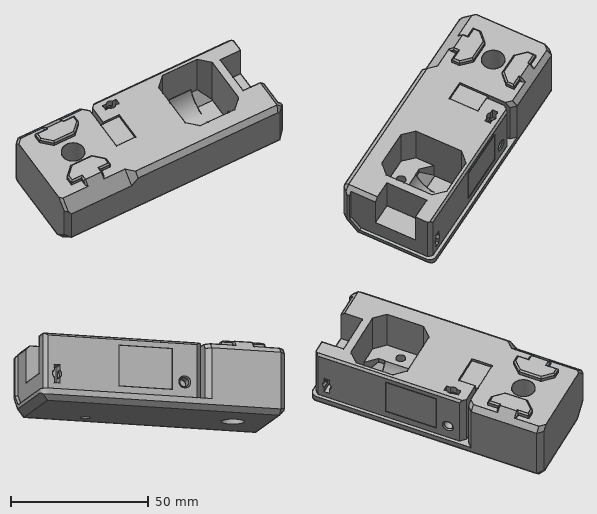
import cadquery as cq
import math

width = 38.2
length = 92.75
body_top = 25.0
overall_height = 27.0
edge_bevel = 1.95
rear_bevel = 2.7
belly_width = 6.0
belly_height = 6.5
margin = 4.6

block_rear = 30.1
shoulder = 4.7
shoulder_end_bevel = 1.1
flange_top = 4.2
shell_left = 1.3
shell_rear = 91.5
shell_front = 31.5
shell_front_corner = 1.95
shell_rear_corner = 1.4
shell_edge_bevel = 0.8
slit_end = 10.85
rear_pad_left = 34.4
rear_pad_slope = 4.2

shallow_width = 11.9
shallow_length = 8.2
shallow_depth = 1.0
rear_pocket_left = 7.8
rear_pocket_width = 16.5
rear_pocket_front = 82.8
rear_pocket_floor = 11.1
bay_left = 3.3
bay_width = 26.9
bay_center_y = 68.45
bay_length = 22.6
bay_corner = 4.0
bay_floor = 8.9
trough_width = 19.4
trough_depth = 6.1
trough_slope = 4.3
saddle_radius = 10.4
saddle_length = 9.3
saddle_floor_width = 4.1
drain_diameter = 3.4
drain_x = 26.25

key_diameter = 3.4
key_width = 2.1
key_slot_depth = 4.6
key_hole_depth = 2.8
pin_depth = 4.6
side_key_y = 86.6
side_key_length = 6.8
top_key_x = 5.3
pin_y = 38.1
top_key_length = 5.7
side_hole_z = 10.0
pin_diameter = 3.4
pin_rim = 4.45
label_depth = 0.2
label_width = 20.2
label_height = 15.2
label_rear = 63.1
label_bottom = 7.0

bore_diameter = 8.5
bore_x = 17.1
bore_y = 15.1
left_tab_x = 3.9
right_tab_x = 22.8
tab_width = 7.05
tab_length = 16.5
tab_corner = 3.8
tab_bevel = 0.65
stem_width = 8.0


def beyond_plane(point, normal):
    """Everything on the outer side of a plane."""
    reach = 4 * length
    plane = cq.Plane(origin=point, normal=normal)
    return cq.Workplane(plane).rect(reach, reach).extrude(reach)


def block(x0, x1, y0, y1, z0, z1):
    return cq.Workplane("XY").box(x1 - x0, y1 - y0, z1 - z0, centered=False).translate((x0, y0, z0))


def octagon(x0, x1, y_center, y_size, corner, z0, height):
    """Rectangular prism with bevelled upright corners."""
    y0 = y_center - y_size / 2
    return block(x0, x1, y0, y0 + y_size, z0, z0 + height).edges("|Z").chamfer(corner)


def make_body():
    body = block(0, width, 0, length, 0, body_top)
    body = body.edges("|Z and <X and >Y").fillet(rear_bevel)
    body = body.edges("<X and <Z").chamfer(edge_bevel)

    diagonal = math.sqrt(0.5)
    belly_size = math.hypot(belly_width, belly_height)
    left = (-1, 0, 0, 0)
    lower_left = (-diagonal, -diagonal, 0, edge_bevel)
    bottom = (0, -1, 0, 0)
    belly = (belly_height / belly_size, -belly_width / belly_size, width, belly_height)
    right = (1, 0, width, 0)
    upper_right = (diagonal, diagonal, width, body_top - edge_bevel)

    for nx, nz, x, z in (belly, upper_right):
        body = body.cut(beyond_plane((x, 0, z), (nx, 0, nz)))
    for nx, nz, x, z in (left, lower_left, bottom, belly, right):
        body = body.cut(beyond_plane((x, edge_bevel, z), (nx, -1, nz)))
    for nx, nz, x, z in (bottom, belly, right):
        body = body.cut(beyond_plane((x, length - rear_bevel, z), (nx, 1, nz)))

    bevel_start = (width - edge_bevel, length - rear_bevel, body_top)
    full_length_zone = block(rear_pocket_left + rear_pocket_width, width + margin,
                             0, length + margin, 0, body_top + margin)
    body = body.cut(beyond_plane(bevel_start, (0, 1, 1)).intersect(full_length_zone))
    return body.cut(beyond_plane(bevel_start, (math.sqrt(2), 1, 1)))


def bevel_front_block(body):
    front_zone = block(-margin, width + margin, -margin, block_rear, 0, overall_height + margin)
    low = body_top - edge_bevel
    corner_y = block_rear - edge_bevel

    for point, normal in (
        ((0, 0, low), (-1, 0, 1)),
        ((0, edge_bevel, low), (-1, -1, 1)),
        ((0, corner_y, low), (-1, 1, 1)),
    ):
        body = body.cut(beyond_plane(point, normal).intersect(front_zone))

    shoulder_point = (width - shoulder, 0, body_top)
    ramp_point = (width - edge_bevel, block_rear, body_top)
    shoulder_cut = beyond_plane(shoulder_point, (1, 0, 1)).intersect(beyond_plane(ramp_point, (1, -1, 1)))
    body = body.cut(shoulder_cut)
    end_point = (width - shoulder - shoulder_end_bevel, 0, body_top)
    return body.cut(beyond_plane(end_point, (1, -1, 1)).intersect(front_zone))


def make_tab(x0, inner_side, stem_foot, lean):
    """Tab with bevelled inner corners and a stem that continues the bevelled side of the block.

    The stem leaves the block top at stem_foot; lean is the X sign of its 45 degree outer face.
    """
    y0 = bore_y - tab_length / 2
    tab = block(x0, x0 + tab_width, y0, y0 + tab_length, body_top, overall_height)
    tab = tab.edges("|Z").edges(inner_side).chamfer(tab_corner)
    tab = tab.faces(">Z").chamfer(tab_bevel)

    tab_height = overall_height - body_top
    tab_middle = x0 + tab_width / 2
    stem = (
        cq.Workplane("XZ", origin=(0, bore_y + stem_width / 2, 0))
        .polyline([
            (stem_foot, body_top),
            (stem_foot + lean * tab_height, overall_height),
            (tab_middle, overall_height),
            (tab_middle, body_top),
        ])
        .close().extrude(stem_width)
    )
    top_and_slope = stem.faces("<Y or >Y").edges("not(<Z)").edges("not(|Z)")
    return tab.union(top_and_slope.chamfer(tab_bevel))


def add_tabs(body):
    body = body.union(make_tab(left_tab_x, ">X", edge_bevel, 1))
    return body.union(make_tab(right_tab_x, "<X", width - shoulder, -1))


def cut_ledge(body):
    corner_y = block_rear - edge_bevel
    recess = (
        cq.Workplane("XY", origin=(0, 0, flange_top))
        .polyline([
            (-margin, corner_y - margin),
            (edge_bevel, block_rear),
            (slit_end, block_rear),
            (slit_end, shell_front),
            (shell_left + shell_front_corner, shell_front),
            (shell_left, shell_front + shell_front_corner),
            (shell_left, shell_rear - shell_rear_corner),
            (shell_left + shell_rear_corner, shell_rear),
            (shell_left + shell_rear_corner, length + margin),
            (-margin, length + margin),
        ])
        .close().extrude(overall_height)
    )
    rear_recess = (
        cq.Workplane("XZ", origin=(0, length + margin, 0))
        .polyline([
            (0, flange_top),
            (rear_pad_left - rear_pad_slope, flange_top),
            (rear_pad_left, flange_top + rear_pad_slope),
            (rear_pad_left, overall_height),
            (0, overall_height),
        ])
        .close().extrude(length + margin - shell_rear)
    )
    shell_zone = block(0, width, shell_front, length, flange_top, overall_height)
    shell_bevel = beyond_plane((shell_left, 0, body_top - shell_edge_bevel), (-1, 0, 1)).intersect(shell_zone)
    return body.cut(recess).cut(rear_recess).cut(shell_bevel)


def cut_pockets(body):
    shallow = block(slit_end, slit_end + shallow_width, block_rear, block_rear + shallow_length,
                    body_top - shallow_depth, overall_height)
    rear_pocket = block(rear_pocket_left, rear_pocket_left + rear_pocket_width,
                        rear_pocket_front, length + margin, rear_pocket_floor, overall_height)
    return body.cut(shallow).cut(rear_pocket)


def cut_bay(body):
    bay = octagon(bay_left, bay_left + bay_width, bay_center_y, bay_length, bay_corner,
                  bay_floor, overall_height)

    trough_right = bay_left + trough_width
    trough_floor = bay_floor - trough_depth
    slope_top = trough_floor + trough_slope
    trough = octagon(bay_left, trough_right, bay_center_y, bay_length, bay_corner, trough_floor, trough_depth)
    trough = trough.cut(beyond_plane((bay_left, 0, slope_top), (-1, 0, -1)))
    trough = trough.cut(beyond_plane((trough_right, 0, slope_top), (1, 0, -1)))

    saddle_x = bay_left + trough_width / 2
    saddle_z = trough_floor + math.sqrt(saddle_radius**2 - (saddle_floor_width / 2) ** 2)
    saddle_rear = bay_center_y + saddle_length / 2
    saddle = block(bay_left, trough_right, saddle_rear - saddle_length, saddle_rear, trough_floor, bay_floor)
    saddle = saddle.cut(
        cq.Workplane("XZ", origin=(saddle_x, saddle_rear, saddle_z)).circle(saddle_radius).extrude(saddle_length)
    )
    trough = trough.cut(saddle)
    drain = cq.Workplane("XY", origin=(drain_x, bay_center_y, 0)).circle(drain_diameter / 2).extrude(body_top)
    return body.cut(bay).cut(trough).cut(drain)


def keyed_hole(plane, slot_x, slot_y):
    """Round hole crossed by a rectangular slot, sunk into the given plane."""
    hole = cq.Workplane(plane).circle(key_diameter / 2).extrude(-key_hole_depth)
    slot = cq.Workplane(plane).rect(slot_x, slot_y).extrude(-key_slot_depth)
    return hole.union(slot)


def cut_small_holes(body):
    side_plane = cq.Plane(origin=(shell_left, side_key_y, side_hole_z), xDir=(0, -1, 0), normal=(-1, 0, 0))
    top_plane = cq.Plane(origin=(top_key_x, pin_y, body_top))
    body = body.cut(keyed_hole(side_plane, key_width, side_key_length))
    body = body.cut(keyed_hole(top_plane, key_width, top_key_length))

    rim_depth = (pin_rim - pin_diameter) / 2
    pin_start = cq.Vector(shell_left, pin_y, side_hole_z)
    inward = cq.Vector(1, 0, 0)
    rim = cq.Solid.makeCone(pin_rim / 2, pin_diameter / 2, rim_depth, pin_start, inward)
    pin = cq.Solid.makeCylinder(pin_diameter / 2, pin_depth, pin_start, inward)
    label = block(shell_left, shell_left + label_depth, label_rear - label_width, label_rear,
                  label_bottom, label_bottom + label_height)
    bore = cq.Workplane("XY", origin=(bore_x, bore_y, 0)).circle(bore_diameter / 2).extrude(overall_height)
    return body.cut(rim).cut(pin).cut(label).cut(bore)


result = make_body()
result = bevel_front_block(result)
result = add_tabs(result)
result = cut_ledge(result)
result = cut_pockets(result)
result = cut_bay(result)
result = cut_small_holes(result)